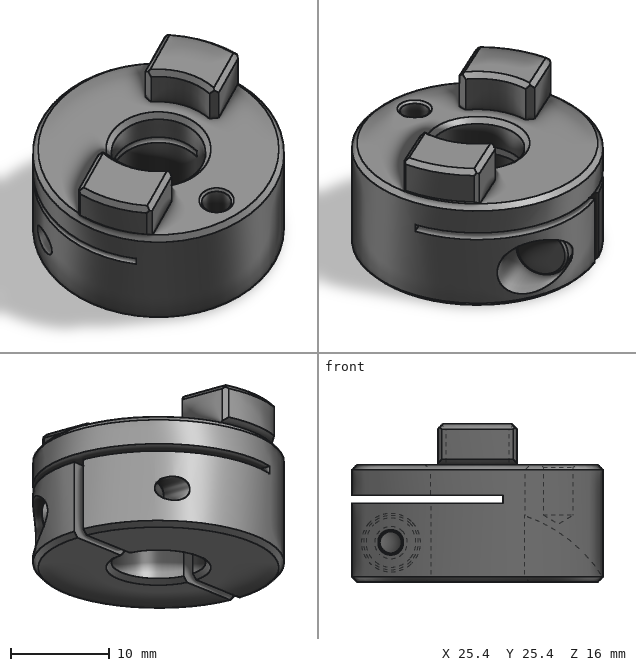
import cadquery as cq
import math

outer_radius = 12.7
hub_height = 11.85
overall_height = 16.0
bore_radius = 9.52 / 2
chamfer = 0.53

lug_width = 8.0
lug_inner_radius = 6.73
lug_corner_width = 0.81
lug_corner_length = 0.45
lug_edge_width = 0.38
lug_edge_length = 0.53

cross_slot_bottom = 7.98
cross_slot_height = 0.8
cross_slot_end = 2.57
clamp_slit_width = 1.2
relief_bore_height = 6.73
relief_outer_height = 0.43

screw_x = -8.76
screw_z = 4.01
counterbore_diameter = 5.95
clearance_diameter = 3.28
threaded_diameter = 2.57
head_diameter = 5.5
shank_diameter = 2.45
head_seat = 3.0
head_end = 6.0
head_chamfer = 0.25
shank_end = -7.0
shank_chamfer = 0.13

pin_x = 8.15
pin_y = -4.55
pin_diameter = 3.0
pin_chamfer = 0.25
pin_depth = 5.08
pin_tip_angle = 118.0


def disc(radius, bottom, top):
    return cq.Workplane("XY").workplane(offset=bottom).circle(radius).extrude(top - bottom)


def rod_along_y(diameter, start, end):
    """Cylinder on the screw axis between two Y positions."""
    plane = cq.Plane(origin=(screw_x, start, screw_z), xDir=(1, 0, 0), normal=(0, 1, 0))
    return cq.Workplane(plane).circle(diameter / 2).extrude(end - start)


def box_between(x_min, x_max, y_width, z_min, z_max):
    box = cq.Workplane("XY").box(x_max - x_min, y_width, z_max - z_min, centered=(False, True, False))
    return box.translate((x_min, 0, z_min))


def make_hub():
    hub = disc(outer_radius, 0, hub_height).faces("<Z or >Z").chamfer(chamfer)
    bore = disc(bore_radius, 0, hub_height)
    for end, z in ((1, 0), (-1, hub_height)):
        mouth = cq.Solid.makeCone(
            bore_radius + chamfer, bore_radius, chamfer, pnt=cq.Vector(0, 0, z), dir=cq.Vector(0, 0, end)
        )
        bore = bore.union(cq.Workplane(mouth))
    return hub.cut(bore)


def make_lug():
    """Lug on the +Y side: chamfered outline, bevelled top rim and undercut outer foot."""
    half = lug_width / 2
    inner_x = half - lug_corner_width
    inner_y = math.sqrt(lug_inner_radius**2 - inner_x**2)
    outer_x = half - lug_edge_width
    outer_y = math.sqrt(outer_radius**2 - outer_x**2)
    outline = (
        cq.Workplane("XY")
        .workplane(offset=hub_height)
        .moveTo(-inner_x, inner_y)
        .threePointArc((0, lug_inner_radius), (inner_x, inner_y))
        .lineTo(half, inner_y + lug_corner_length)
        .lineTo(half, outer_y - lug_edge_length)
        .lineTo(outer_x, outer_y)
        .threePointArc((0, outer_radius), (-outer_x, outer_y))
        .lineTo(-half, outer_y - lug_edge_length)
        .lineTo(-half, inner_y + lug_corner_length)
        .close()
    )
    cornered = outline.extrude(overall_height - hub_height)
    bar = box_between(0, outer_radius, lug_width, hub_height, overall_height)
    bar = bar.rotate((0, 0, 0), (0, 0, 1), 90)
    sector = disc(outer_radius, hub_height, overall_height).intersect(bar)
    sharp = sector.cut(disc(lug_inner_radius, hub_height, overall_height))
    lug = sharp.faces(">Z").chamfer(chamfer).intersect(cornered)
    tapered_foot = disc(outer_radius, hub_height, overall_height).faces("<Z").chamfer(chamfer)
    return lug.intersect(tapered_foot)


def make_clamp_cuts():
    cross_slot = box_between(
        -outer_radius, cross_slot_end, 2 * outer_radius, cross_slot_bottom, cross_slot_bottom + cross_slot_height
    )
    slit = box_between(-outer_radius, 0, clamp_slit_width, 0, cross_slot_bottom)
    saw_z = (bore_radius**2 + relief_bore_height**2 - outer_radius**2 - relief_outer_height**2) / (
        2 * (relief_bore_height - relief_outer_height)
    )
    saw_radius = math.hypot(bore_radius, relief_bore_height - saw_z)
    saw = cq.Workplane("XZ").center(0, saw_z).circle(saw_radius).extrude(clamp_slit_width / 2, both=True)
    return cross_slot.union(slit).union(saw)


def make_screw_hole():
    counterbore = rod_along_y(counterbore_diameter, head_seat, outer_radius)
    clearance = rod_along_y(clearance_diameter, 0, head_seat)
    threaded = rod_along_y(threaded_diameter, -outer_radius, 0)
    return counterbore.union(clearance).union(threaded)


def make_screw():
    head = rod_along_y(head_diameter, head_seat, head_end).faces(">Y").chamfer(head_chamfer)
    shank = rod_along_y(shank_diameter, shank_end, head_seat).faces("<Y").chamfer(shank_chamfer)
    return head.union(shank)


def make_pin_hole():
    """Drilled hole with a conical tip and a chamfered mouth, as one revolved profile."""
    radius = pin_diameter / 2
    tip_length = radius / math.tan(math.radians(pin_tip_angle / 2))
    profile = [
        (0, 0),
        (radius + pin_chamfer, 0),
        (radius, -pin_chamfer),
        (radius, -pin_depth),
        (0, -pin_depth - tip_length),
    ]
    hole = cq.Workplane("XZ").polyline(profile).close().revolve(360, (0, 0), (0, 1))
    return hole.translate((pin_x, pin_y, hub_height))


lug = make_lug()
hub = make_hub().union(lug).union(lug.mirror("XZ"))
hub = hub.cut(make_clamp_cuts()).cut(make_screw_hole()).cut(make_pin_hole())
result = hub.union(make_screw())